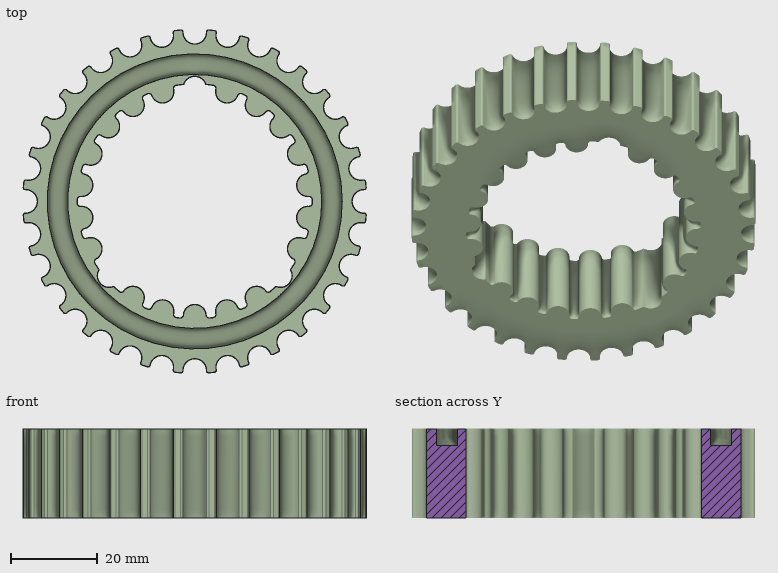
import cadquery as cq
import math

width = 20.64
tip_radius = 39.78

outer_tooth_count = 32
space_radius = 2.7
space_floor = 36.4
tip_round = 0.5

lobe_pitches = 22
lobe_radius = 2.65
lobe_crest = 23.8
root_radius = 27.15
root_round = 0.7

relief_positions = (0, 8, 14)
relief_radius = 2.65
relief_floor = 28.9

groove_inner_radius = 29.35
groove_outer_radius = 34.1
groove_depth = 3.8

MARGIN = 1.0


def ring_points(count, centre_radius, indices):
    """Points at the chosen pitches of an even division of a circle, anticlockwise from +Y."""
    points = []
    for index in indices:
        angle = index * 2 * math.pi / count
        points.append((-centre_radius * math.sin(angle), centre_radius * math.cos(angle)))
    return points


def rods(points, radius):
    """Full-width cylinders standing on the given points."""
    return cq.Workplane("XY").pushPoints(points).circle(radius).extrude(width)


def edges_at_radius(body, radius):
    """Axial edges of the body lying at the given distance from the ring axis."""
    tolerance = 0.01
    return body.edges("|Z").filter(
        lambda edge: abs(math.hypot(edge.Center().x, edge.Center().y) - radius) < tolerance
    )


def toothed_blank():
    """Solid disc with round tooth spaces around its rim and rounded tooth tips."""
    blank = cq.Workplane("XY").circle(tip_radius).extrude(width)
    centres = ring_points(outer_tooth_count, space_floor + space_radius, range(outer_tooth_count))
    blank = blank.cut(rods(centres, space_radius))
    return edges_at_radius(blank, tip_radius).fillet(tip_round)


def lobed_bore():
    """Void of the bore: a cylinder notched by the lobes and swollen by the reliefs."""
    lobe_positions = [index for index in range(lobe_pitches) if index not in relief_positions]
    lobe_centres = ring_points(lobe_pitches, lobe_crest + lobe_radius, lobe_positions)
    relief_centres = ring_points(lobe_pitches, relief_floor - relief_radius, relief_positions)
    bore = cq.Workplane("XY").circle(root_radius).extrude(width).rotate((0, 0, 0), (0, 0, 1), -90)
    bore = bore.cut(rods(lobe_centres, lobe_radius))
    bore = edges_at_radius(bore, root_radius).fillet(root_round)
    return bore.union(rods(relief_centres, relief_radius))


def annular_groove():
    """Ring-shaped void sunk into the top face."""
    return (
        cq.Workplane("XY", origin=(0, 0, width - groove_depth))
        .circle(groove_outer_radius)
        .circle(groove_inner_radius)
        .extrude(groove_depth + MARGIN)
    )


result = toothed_blank().cut(lobed_bore()).cut(annular_groove())